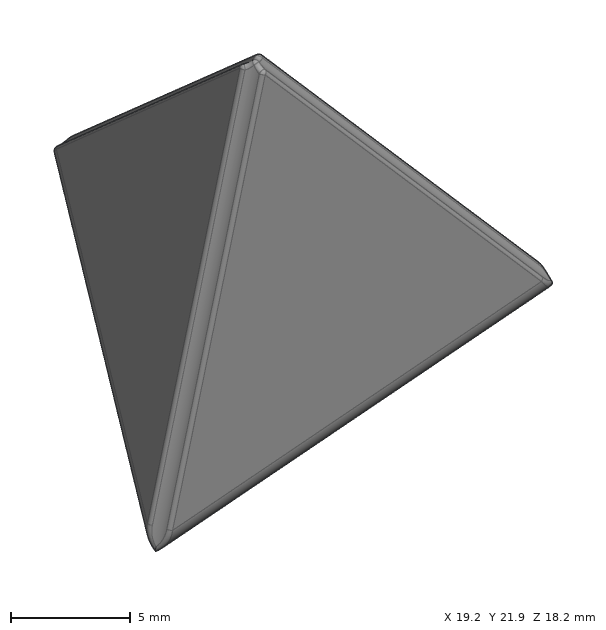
import cadquery as cq
import math

edge_length = 24.22
base_radius = 1.0
groove_radius = 0.8
lip_radius = 0.2

height = edge_length * math.sqrt(2 / 3)
corner_distance = edge_length / math.sqrt(3)
corner_angles = (60, 180, 300)
groove_overrun = 2.2
apex = cq.Vector(0, 0, height)
corners = [
    cq.Vector(
        corner_distance * math.cos(math.radians(angle)),
        corner_distance * math.sin(math.radians(angle)),
        0,
    )
    for angle in corner_angles
]


def make_tetrahedron():
    first, second, third = corners
    triangles = (
        (first, third, second),
        (first, second, apex),
        (second, third, apex),
        (third, first, apex),
    )
    faces = [cq.Face.makeFromWires(cq.Wire.makePolygon(points, close=True)) for points in triangles]
    return cq.Workplane(cq.Solid.makeSolid(cq.Shell.makeShell(faces)))


def make_groove(corner):
    direction = (apex - corner).normalized()
    start = corner - direction * groove_overrun
    length = edge_length + 2 * groove_overrun
    return cq.Solid.makeCylinder(groove_radius, length, start, direction)


def round_groove_lips(body):
    """Round every rim of the grooves, including at the apex and across the base rounding."""
    groove_faces = [
        face for face in body.faces("%CYLINDER").vals()
        if face.Center().z > height / 4
    ]
    lips = [edge for face in groove_faces for edge in face.Edges()]
    return body.newObject(lips).fillet(lip_radius)


body = make_tetrahedron().faces("<Z").edges().fillet(base_radius)
for corner in corners:
    body = body.cut(cq.Workplane(make_groove(corner)))
result = round_groove_lips(body)